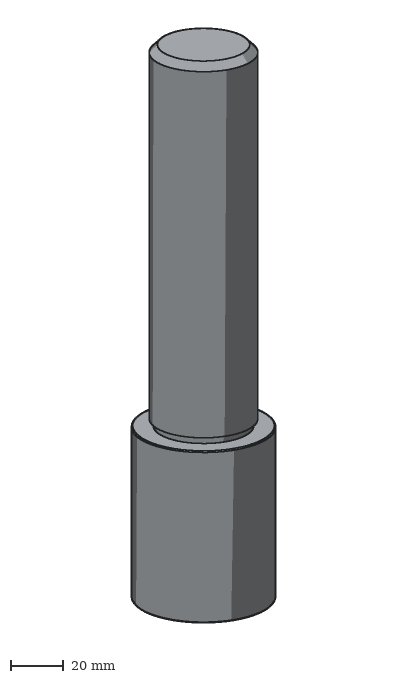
import cadquery as cq

total_length = 225.0
body_diameter = 55.0
body_length = 70.0
body_chamfer = 0.5
shank_diameter = 41.5
shank_chamfer = 3.2
neck_diameter = 38.2
neck_length = 3.0

body = (
    cq.Workplane("XY")
    .circle(body_diameter / 2)
    .extrude(body_length)
    .faces("<Z or >Z")
    .edges()
    .chamfer(body_chamfer)
)

neck = (
    cq.Workplane("XY")
    .workplane(offset=body_length)
    .circle(neck_diameter / 2)
    .extrude(neck_length)
)

shank_start = body_length + neck_length
shank = (
    cq.Workplane("XY")
    .workplane(offset=shank_start)
    .circle(shank_diameter / 2)
    .extrude(total_length - shank_start)
    .faces(">Z")
    .edges()
    .chamfer(shank_chamfer)
)

result = body.union(neck).union(shank)